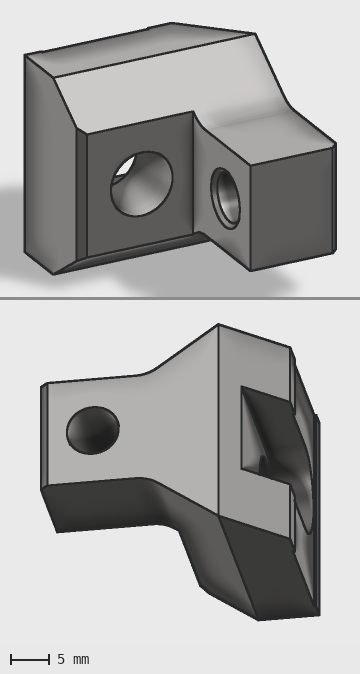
import cadquery as cq
import math

length = 31.5
depth = 29.5
height = 28.0

block_length = 15.5
arm_depth = 13.0
back_chamfer = 8.0
edge_chamfer = 1.0

taper_start = 8.0
taper_angle = math.radians(35)
arm_height = 15.0
blend_radius = 5.0

relief_depth = 0.25
relief_start = 2.5
relief_end = 18.02

bolt_y = 9.0
bolt_diameter = 9.0
slot_width = 12.0
slot_depth = 5.45

arm_hole_x = 24.5
arm_hole_diameter = 6.8
countersink_diameter = 8.0


def plan_body():
    """L-shaped plan with its chamfered corners and left relief, at full height."""
    arm_front = depth - arm_depth
    points = [
        (0, 0),
        (block_length - edge_chamfer, 0),
        (block_length, edge_chamfer),
        (block_length, arm_front),
        (length, arm_front),
        (length, depth - edge_chamfer),
        (length - edge_chamfer, depth),
        (back_chamfer, depth),
        (0, depth - back_chamfer),
        (0, relief_end),
        (relief_depth, relief_end),
        (relief_depth, relief_start),
        (0, relief_start),
    ]
    return cq.Workplane("XY").workplane(offset=-height / 2).polyline(points).close().extrude(height)


def tapered_envelope():
    """Side profile: tall block, sloped flanks and tangent arcs into the arm."""
    half_height = height / 2
    half_arm = arm_height / 2
    blend_start_z = half_arm + blend_radius * (1 - math.cos(taper_angle))
    blend_start_x = taper_start + (half_height - blend_start_z) / math.tan(taper_angle)
    blend_end_x = blend_start_x + blend_radius * math.sin(taper_angle)
    blend_mid_x = blend_end_x - blend_radius * math.sin(taper_angle / 2)
    blend_mid_z = half_arm + blend_radius * (1 - math.cos(taper_angle / 2))
    return (
        cq.Workplane("XZ")
        .moveTo(0, half_height)
        .lineTo(taper_start, half_height)
        .lineTo(blend_start_x, blend_start_z)
        .threePointArc((blend_mid_x, blend_mid_z), (blend_end_x, half_arm))
        .lineTo(length, half_arm)
        .lineTo(length, -half_arm)
        .lineTo(blend_end_x, -half_arm)
        .threePointArc((blend_mid_x, -blend_mid_z), (blend_start_x, -blend_start_z))
        .lineTo(taper_start, -half_height)
        .lineTo(0, -half_height)
        .close()
        .extrude(-depth)
    )


def bolt_cut():
    """Round-ended slot running out through the back chamfer, plus the bolt hole."""
    run_out = depth - bolt_y
    slot_end = cq.Workplane("YZ").center(bolt_y, 0).circle(slot_width / 2).extrude(slot_depth)
    slot_run = (
        cq.Workplane("YZ")
        .center(bolt_y + run_out / 2, 0)
        .rect(run_out, slot_width)
        .extrude(slot_depth)
    )
    hole = cq.Workplane("YZ").center(bolt_y, 0).circle(bolt_diameter / 2).extrude(block_length)
    return slot_end.union(slot_run).union(hole)


def arm_hole_cut():
    """Through hole with a 45 degree countersink on the near side of the arm."""
    hole_radius = arm_hole_diameter / 2
    sink_radius = countersink_diameter / 2
    sink_depth = sink_radius - hole_radius
    profile = [
        (0, 0),
        (sink_radius, 0),
        (hole_radius, sink_depth),
        (hole_radius, arm_depth),
        (0, arm_depth),
    ]
    return (
        cq.Workplane("XY", origin=(arm_hole_x, depth - arm_depth, 0))
        .polyline(profile)
        .close()
        .revolve(360, (0, 0, 0), (0, 1, 0))
    )


result = plan_body().intersect(tapered_envelope()).cut(bolt_cut()).cut(arm_hole_cut())